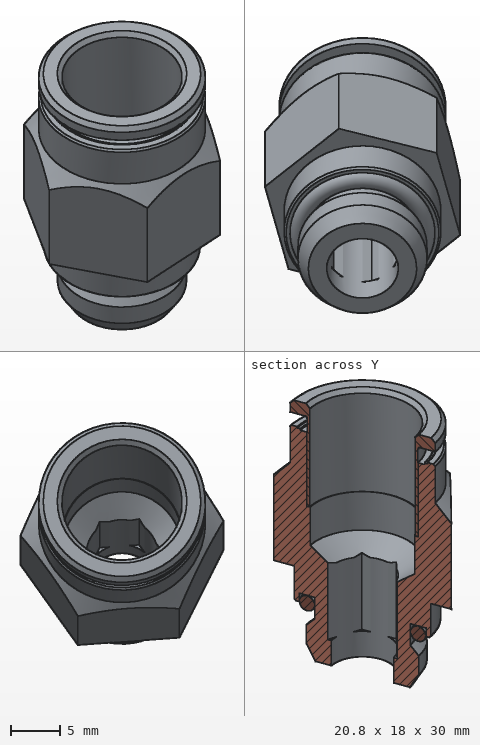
import cadquery as cq
import math

TOTAL_HEIGHT = 30.0
THREAD_CHAMFER_TOP = 1.8
THREAD_TOP = 4.02
HEX_BOTTOM = 10.5
SHOULDER_TOP = 22.5
HOUSING_TOP = 27.0
FLANGE_BOTTOM = 28.45
SEAL_SEAT_BOTTOM = 6.48

ACROSS_FLATS = 18.0
BARREL_RADIUS = 17.0 / 2
COLLAR_RADIUS = 16.0 / 2
NECK_RADIUS = 11.2 / 2
THREAD_RADIUS = 13.17 / 2
THREAD_TIP_RADIUS = 11.05 / 2
EDGE_CHAMFER = 0.2
HEX_CORNER_RADIUS = ACROSS_FLATS / math.sqrt(3)
NECK_BOTTOM = THREAD_TOP + THREAD_RADIUS - NECK_RADIUS
HEX_CORNER_TOP = 20.58

BORE_RADIUS = 7.3 / 2
TUBE_STOP_RADIUS = 12.15 / 2
CONE_BOTTOM = 11.7
CONE_TOP = 13.5
SOCKET_ACROSS_FLATS = 7.0
SOCKET_BOTTOM = 3.0
MOUTH_RADIUS = 15.18 / 2
MOUTH_DEPTH = 0.15
RECESS_RADIUS = 14.5 / 2
RECESS_DEPTH = 0.33

SLEEVE_BOTTOM = 18.0
SLEEVE_RADIUS = 13.0 / 2
FLARE_RADIUS = 13.17 / 2
FLARE_HEIGHT = 0.18
SLEEVE_BORE_RADIUS = 12.25 / 2
FLANGE_RADIUS = BARREL_RADIUS
FLANGE_CHAMFER = 0.48
MOUTH_CHAMFER = 0.48

SEAL_SECTION_RADIUS = 0.9
SEAL_CENTER_RADIUS = NECK_RADIUS + SEAL_SECTION_RADIUS
SEAL_CENTER_Z = 6.57
SEAL_SEAT_TOP = SEAL_CENTER_Z + SEAL_SECTION_RADIUS
SEAL_SEAT_RADIUS = SEAL_CENTER_RADIUS + SEAL_SECTION_RADIUS


def revolve(profile):
    """Turn a closed (radius, z) outline around the Z axis."""
    return cq.Workplane("XZ").polyline(profile).close().revolve(360, (0, 0, 0), (0, 1, 0))


def hexagon(across_flats, bottom, top):
    """Hexagonal prism with two corners on the X axis."""
    corner_diameter = 2 * across_flats / math.sqrt(3)
    return cq.Workplane("XY").workplane(offset=bottom).polygon(6, corner_diameter).extrude(top - bottom)


def make_housing():
    turned = revolve([
        (0, 0),
        (THREAD_TIP_RADIUS, 0),
        (THREAD_RADIUS, THREAD_CHAMFER_TOP),
        (THREAD_RADIUS, THREAD_TOP),
        (NECK_RADIUS, NECK_BOTTOM),
        (NECK_RADIUS, SEAL_SEAT_TOP),
        (SEAL_SEAT_RADIUS, SEAL_SEAT_TOP),
        (SEAL_SEAT_RADIUS, SEAL_SEAT_BOTTOM),
        (COLLAR_RADIUS - EDGE_CHAMFER, SEAL_SEAT_BOTTOM),
        (COLLAR_RADIUS, SEAL_SEAT_BOTTOM + EDGE_CHAMFER),
        (COLLAR_RADIUS, HEX_BOTTOM),
        (BARREL_RADIUS, HEX_BOTTOM),
        (BARREL_RADIUS, HOUSING_TOP - EDGE_CHAMFER),
        (BARREL_RADIUS - EDGE_CHAMFER, HOUSING_TOP),
        (0, HOUSING_TOP),
    ])
    bevel = revolve([
        (0, HEX_BOTTOM),
        (HEX_CORNER_RADIUS, HEX_BOTTOM),
        (HEX_CORNER_RADIUS, HEX_CORNER_TOP),
        (BARREL_RADIUS, SHOULDER_TOP),
        (0, SHOULDER_TOP),
    ])
    nut = hexagon(ACROSS_FLATS, HEX_BOTTOM, SHOULDER_TOP).intersect(bevel)
    passage = revolve([
        (0, 0),
        (BORE_RADIUS, 0),
        (BORE_RADIUS, CONE_BOTTOM),
        (TUBE_STOP_RADIUS, CONE_TOP),
        (TUBE_STOP_RADIUS, SLEEVE_BOTTOM),
        (SLEEVE_RADIUS, SLEEVE_BOTTOM),
        (SLEEVE_RADIUS, HOUSING_TOP - RECESS_DEPTH),
        (RECESS_RADIUS, HOUSING_TOP - RECESS_DEPTH),
        (RECESS_RADIUS, HOUSING_TOP - MOUTH_DEPTH),
        (MOUTH_RADIUS, HOUSING_TOP - MOUTH_DEPTH),
        (MOUTH_RADIUS, HOUSING_TOP),
        (0, HOUSING_TOP),
    ])
    socket = hexagon(SOCKET_ACROSS_FLATS, SOCKET_BOTTOM, CONE_TOP)
    return turned.union(nut).cut(passage).cut(socket)


def make_release_sleeve():
    return revolve([
        (SLEEVE_BORE_RADIUS, SLEEVE_BOTTOM),
        (SLEEVE_RADIUS, SLEEVE_BOTTOM),
        (SLEEVE_RADIUS, FLANGE_BOTTOM - FLARE_HEIGHT),
        (FLARE_RADIUS, FLANGE_BOTTOM),
        (FLANGE_RADIUS, FLANGE_BOTTOM),
        (FLANGE_RADIUS, TOTAL_HEIGHT - FLANGE_CHAMFER),
        (FLANGE_RADIUS - FLANGE_CHAMFER, TOTAL_HEIGHT),
        (SLEEVE_BORE_RADIUS + MOUTH_CHAMFER, TOTAL_HEIGHT),
        (SLEEVE_BORE_RADIUS, TOTAL_HEIGHT - MOUTH_CHAMFER),
    ])


def make_seal_ring():
    section = cq.Workplane("XZ").center(SEAL_CENTER_RADIUS, SEAL_CENTER_Z).circle(SEAL_SECTION_RADIUS)
    return section.revolve(360, (-SEAL_CENTER_RADIUS, 0, 0), (-SEAL_CENTER_RADIUS, 1, 0))


housing = make_housing()
release_sleeve = make_release_sleeve()
seal_ring = make_seal_ring()

result = cq.Compound.makeCompound([housing.val(), release_sleeve.val(), seal_ring.val()])